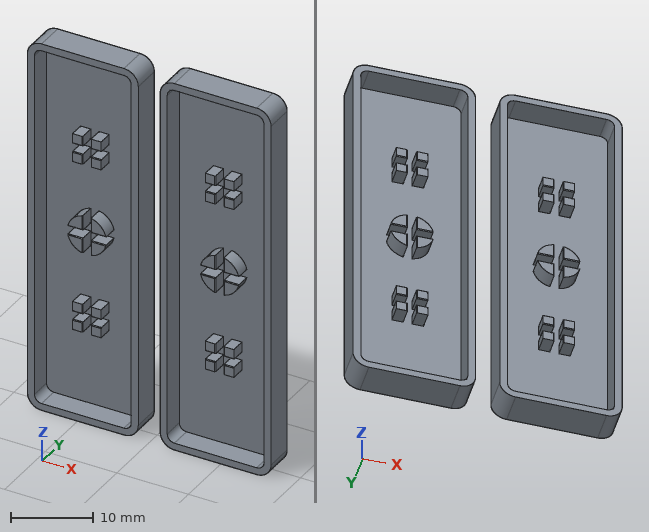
import cadquery as cq
TRAY_HEIGHT = 52.5
TRAY_WIDTH = 15.5
TRAY_DEPTH = 4.0
WALL = 1.0
FLOOR = WALL
OUTER_CORNER_RADIUS = 2 * WALL
INNER_CORNER_RADIUS = OUTER_CORNER_RADIUS - WALL

TOTAL_WIDTH = 34.0
TRAY_PITCH = TOTAL_WIDTH - TRAY_WIDTH

BOSS_HEIGHT = 2.0
SQUARE_BOSS_SIDE = 4.0
ROUND_BOSS_RADIUS = 2.75
SQUARE_BOSS_SPACING = 12.0
SLOT_WIDTH = 1.15
SLOT_CHAMFER = 0.1

FLOOR_Y = TRAY_DEPTH - FLOOR
BOSS_TOP_Y = FLOOR_Y - BOSS_HEIGHT


def plane_at(y):
    """Workplane at depth y whose normal points to +Y."""
    return cq.Workplane(cq.Plane(origin=(0, y, 0), xDir=(-1, 0, 0), normal=(0, 1, 0)))


def rounded_block(width, height, depth, corner_radius):
    """Rectangular block from the rim toward +Y with its four Y edges rounded."""
    return plane_at(0).rect(width, height).extrude(depth).edges("|Y").fillet(corner_radius)


def make_shell():
    """Tray walls and floor."""
    outside = rounded_block(TRAY_WIDTH, TRAY_HEIGHT, TRAY_DEPTH, OUTER_CORNER_RADIUS)
    pocket = rounded_block(TRAY_WIDTH - 2 * WALL, TRAY_HEIGHT - 2 * WALL, FLOOR_Y, INNER_CORNER_RADIUS)
    return outside.cut(pocket)


def make_slot(length):
    """Cutter along Z for one slot, down to the floor, with a chamfered mouth."""
    half_width = SLOT_WIDTH / 2
    half_mouth = half_width + SLOT_CHAMFER
    chamfer_end_y = BOSS_TOP_Y + SLOT_CHAMFER
    profile = [
        (-half_mouth, BOSS_TOP_Y),
        (half_mouth, BOSS_TOP_Y),
        (half_width, chamfer_end_y),
        (half_width, FLOOR_Y),
        (-half_width, FLOOR_Y),
        (-half_width, chamfer_end_y),
    ]
    return cq.Workplane("XY").polyline(profile).close().extrude(length / 2, both=True)


def quarter(boss, size):
    """Split a centred boss of the given size into four by crossing slots."""
    upright_slot = make_slot(size)
    level_slot = upright_slot.rotate((0, 0, 0), (0, 1, 0), 90)
    return boss.cut(upright_slot).cut(level_slot)


def make_round_boss():
    """Quartered cylinder."""
    cylinder = plane_at(BOSS_TOP_Y).circle(ROUND_BOSS_RADIUS).extrude(BOSS_HEIGHT)
    return quarter(cylinder, 2 * ROUND_BOSS_RADIUS)


def make_square_boss():
    """Quartered square block."""
    block = plane_at(BOSS_TOP_Y).rect(SQUARE_BOSS_SIDE, SQUARE_BOSS_SIDE).extrude(BOSS_HEIGHT)
    return quarter(block, SQUARE_BOSS_SIDE)


def make_tray(x):
    """One tray centred at x, its three bosses joined to its floor."""
    tray = make_shell().union(make_round_boss())
    for z in (-SQUARE_BOSS_SPACING, SQUARE_BOSS_SPACING):
        tray = tray.union(make_square_boss().translate((0, 0, z)))
    return tray.translate((x, 0, 0))


trays = [make_tray(side * TRAY_PITCH / 2) for side in (-1, 1)]

result = cq.Compound.makeCompound([tray.solids().val() for tray in trays])